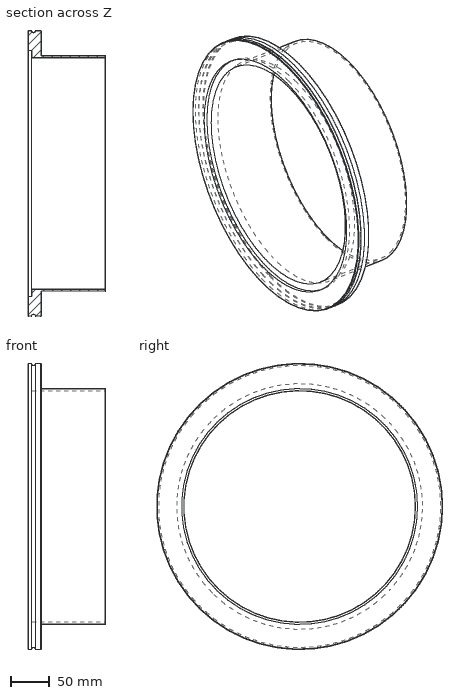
import cadquery as cq

total_length = 100.0
flange_diameter = 370.0
flange_thickness = 17.0
tube_diameter = 305.0
bore_diameter = 299.0
recess_diameter = 318.0
recess_depth = 4.5
groove_center = 7.0
groove_width = 5.0
rim_chamfer = 0.7


def cylinder(diameter, length):
    """Solid cylinder along +X from the flange face at X = 0."""
    return cq.Workplane("YZ").circle(diameter / 2).extrude(length)


def rim_groove():
    """Ring of round section that cuts a half-round groove into the flange rim."""
    return (
        cq.Workplane("XY")
        .center(groove_center, flange_diameter / 2)
        .circle(groove_width / 2)
        .revolve(360, (0, -flange_diameter / 2), (1, -flange_diameter / 2))
    )


flange = cylinder(flange_diameter, flange_thickness).edges("%CIRCLE").chamfer(rim_chamfer)

body = flange.union(cylinder(tube_diameter, total_length))
body = body.cut(cylinder(bore_diameter, total_length))
body = body.cut(cylinder(recess_diameter, recess_depth))

result = body.cut(rim_groove())